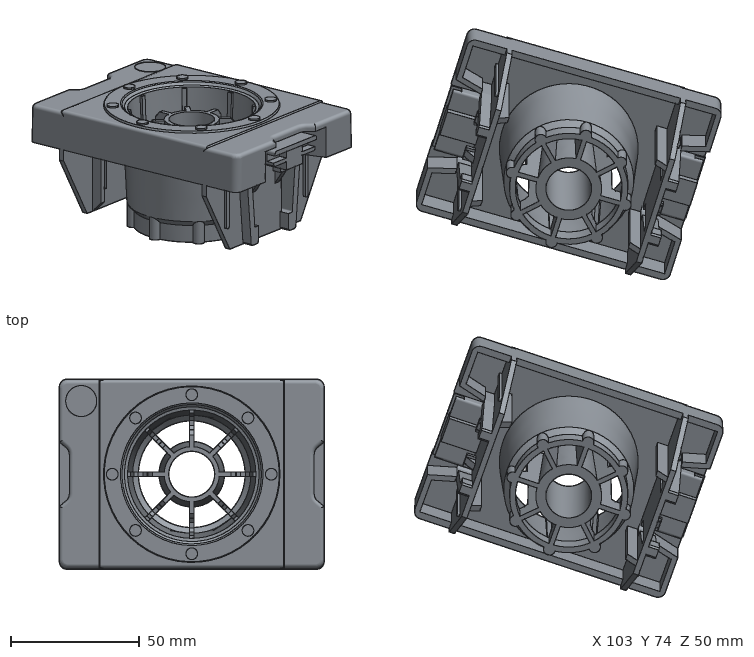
import cadquery as cq
import math

leg_bottom = 2.9
plate_bottom = 32.8
roof_bottom = 45.2
plate_top = 47.9
slab_top = 48.5
disc_top = 49.3
pin_top = 50.0

half_length = 51.5
half_width_bottom = 37.0
half_width_top = 36.5
corner_radius = 3.1
edge_fillet = 1.5
wall = 2.2
slab_half_length = 36.0
slab_undercut = 1.5
slab_end_lean = 0.4
slab_fillet = 1.2
label_x = -43.0
label_y = 28.4
label_diameter = 12.0
label_depth = 0.2

disc_radius = 34.3
disc_top_radius = 34.0
pin_diameter = 4.5
pin_circle_radius = 30.9
repeat_count = 8

cup_wall = 2.3
cup_foot_radius = 23.0
cup_shoulder_radius = 25.2
shoulder_bottom = 6.9
shoulder_top = 9.3
bore_mouth_radius = 24.9
bore_mouth_z = 47.7
rim_step_radius = 26.2
rim_step_z = 48.0
rim_bevel_radius = 27.1
rim_bevel_z = 49.0
rim_radius = 27.7
cup_roof_radius = 27.0
lug_diameter = 4.5
hub_bottom_radius = 12.8
hub_top_radius = 10.7
hub_bore_radius = 8.9
hub_top = 42.8
rib_thickness = 1.9
fin_top = 47.4
rib_floor = 10.3
rib_top_radius = 15.2
rib_bevel_radius = 17.1
rib_bevel_height = 2.2
groove_inner_radius = 17.3
groove_outer_radius = 22.5
groove_corner = 1.5
fin_top_radius = 23.8

frame_x = -40.5
leg_x = -36.4
leg_inner_x = leg_x + wall
cheek_x = -30.0
cheek_half_width = 19.1
cheek_thickness = 2.3
leg_slope_top = 28.2
leg_foot_half_width = 22.2
pocket_half_width_outer = 19.1
pocket_half_width_inner = 16.1
notch_half_width_outer = 12.6
notch_half_width_inner = 9.3
notch_depth = 3.9
notch_inner_radius = 3.6
notch_outer_radius = 2.1
frame_half_width_top = 16.8
frame_half_width_bottom = 14.0
foot_chamfer = 0.7
opening_half_width = 16.0
opening_step_z = 34.0
slot_half_width_top = 13.9
slot_half_width_bottom = 11.7
slot_bottom = 10.0
opening_radius = 1.5
slot_radius = 0.6
foot_half_width = 9.4
tongue_half_width = 10.2
leg_rib_y = 24.7
leg_rib_width = 1.8
leg_rib_height = 1.0
leg_rib_bottom = 12.2
leg_rib_end_radius = 0.8

head_half_width = 13.0
head_bottom = 37.2
head_top = 43.6
head_radius = 1.0
neck_radius = 0.6
head_lip_bottom = 41.7
head_face_x = -50.8
head_groove_x = -47.4
head_groove_bottom = 38.7
head_block_half_width = 4.9
head_block_bottom = 33.8
hook_y_inner = 4.9
hook_y_outer = 10.0
hook_bottom = 27.9
hook_top = 30.2
hook_reach = 3.7
gusset_y = 7.3
gusset_width = 2.7
gusset_bottom = 22.5


def box(x0, x1, y0, y1, z0, z1):
    """Block given by its limits along each axis."""
    return cq.Workplane("XY").box(x1 - x0, y1 - y0, z1 - z0, centered=False).translate((x0, y0, z0))


def mirrored_outline(half):
    """Close a list of (y, z) points with their mirror image at -y."""
    return half + [(-y, z) for y, z in reversed(half)]


def across(points, x0, x1):
    """Prism along X with the (y, z) outline."""
    return cq.Workplane("YZ", origin=(x0, 0, 0)).polyline(points).close().extrude(x1 - x0)


def revolve(points):
    """Turn an (r, z) outline around the Z axis."""
    return cq.Workplane("XZ").polyline(points).close().revolve(360, (0, 0, 0), (0, 1, 0))


def both_ends(shape):
    """The shape together with its mirror image at the +X end."""
    return shape.union(shape.mirror("YZ"))


def half_width_at(z):
    """Half width of the leaning plate at height z."""
    lean = (half_width_bottom - half_width_top) / (plate_top - plate_bottom)
    return half_width_bottom - lean * (z - plate_bottom)


def plate_prism(length, top):
    outline = mirrored_outline([(half_width_bottom, plate_bottom), (half_width_at(top), top)])
    return across(outline, -length, length)


def vertical_edges_at(x):
    """Selector for edges whose centre lies in the plane at x."""
    margin = 0.01
    return cq.selectors.BoxSelector((x - margin, -half_length, plate_bottom + margin),
                                    (x + margin, half_length, plate_top - margin))


def notch():
    """Finger notch through the roof at the -X end."""
    inner_x = -half_length + notch_depth
    outline = [
        (-half_length - wall, notch_half_width_outer),
        (-half_length, notch_half_width_outer),
        (inner_x, notch_half_width_inner),
        (inner_x, -notch_half_width_inner),
        (-half_length, -notch_half_width_outer),
        (-half_length - wall, -notch_half_width_outer),
    ]
    cutter = cq.Workplane("XY", origin=(0, 0, plate_bottom)).polyline(outline).close()
    cutter = cutter.extrude(plate_top - plate_bottom)
    cutter = cutter.edges(vertical_edges_at(inner_x)).fillet(notch_inner_radius)
    return cutter.edges(vertical_edges_at(-half_length)).fillet(notch_outer_radius)


def plate():
    body = plate_prism(half_length, plate_top)
    body = body.faces("<X or >X").edges("not |Y").fillet(corner_radius)
    body = body.cut(both_ends(notch()))
    body = body.faces(">Z").edges().fillet(edge_fillet)

    slab = plate_prism(slab_half_length, slab_top)
    slab = slab.faces(">Z").edges("|X").fillet(slab_fillet)
    slab_foot = slab_half_length - slab_undercut
    slab_ends = [
        (-slab_half_length, plate_top),
        (-slab_half_length + slab_end_lean, slab_top),
        (slab_half_length - slab_end_lean, slab_top),
        (slab_half_length, plate_top),
        (slab_foot, plate_top - slab_undercut),
        (slab_foot, plate_bottom),
        (-slab_foot, plate_bottom),
        (-slab_foot, plate_top - slab_undercut),
    ]
    slab_limit = cq.Workplane("XZ").polyline(slab_ends).close().extrude(half_length, both=True)
    body = body.union(slab.intersect(slab_limit))

    label = cq.Workplane("XY", origin=(label_x, label_y, plate_top)).circle(label_diameter / 2)
    body = body.cut(label.extrude(-label_depth))

    cavity_half_width = half_width_top - wall
    cavity = box(-half_length + wall, half_length - wall, -cavity_half_width, cavity_half_width,
                 plate_bottom, roof_bottom)
    return body.cut(cavity)


def pocket_prism(margin, top):
    """Tapered pocket around the clip head, widened by the margin."""
    outer = pocket_half_width_outer + margin
    inner = pocket_half_width_inner + margin
    outline = [(-half_length, outer), (frame_x, inner), (frame_x, -inner), (-half_length, -outer)]
    base = cq.Workplane("XY", origin=(0, 0, plate_bottom)).polyline(outline).close()
    return base.extrude(top - plate_bottom)


def opening():
    """Opening around the tongue, with a slot along each tongue side."""
    outline = mirrored_outline([
        (opening_half_width, roof_bottom),
        (opening_half_width, opening_step_z),
        (slot_half_width_top, opening_step_z),
        (slot_half_width_bottom, slot_bottom),
    ])
    cutter = across(outline, frame_x - wall, cheek_x)
    cutter = cutter.edges("|X").edges(">Z").fillet(opening_radius)
    return cutter.edges("|X").edges("<Z").fillet(slot_radius)


def frame():
    """Leg plate with its stiffening frame, cheeks and ribs, before the opening is cut."""
    leg_outline = mirrored_outline([
        (half_width_top - wall / 2, roof_bottom),
        (half_width_top - wall / 2, plate_bottom),
        (half_width_bottom, plate_bottom),
        (half_width_bottom, leg_slope_top),
        (leg_foot_half_width, leg_bottom),
    ])
    body = across(leg_outline, leg_x, leg_inner_x)

    frame_outline = mirrored_outline([
        (frame_half_width_top, roof_bottom),
        (frame_half_width_top, plate_bottom),
        (frame_half_width_bottom, leg_bottom + foot_chamfer),
        (frame_half_width_bottom - foot_chamfer, leg_bottom),
        (foot_half_width + foot_chamfer, leg_bottom),
        (foot_half_width, leg_bottom + foot_chamfer),
        (foot_half_width, slot_bottom),
    ])
    body = body.union(across(frame_outline, frame_x, leg_x))

    cheek_width = cheek_x - leg_inner_x
    cheek_outline = [
        (leg_inner_x, roof_bottom),
        (cheek_x, roof_bottom),
        (cheek_x, leg_bottom + cheek_width),
        (leg_inner_x, leg_bottom),
    ]
    for side in (-1, 1):
        cheek_y = side * (cheek_half_width - cheek_thickness / 2)
        cheek = cq.Workplane("XZ", origin=(0, cheek_y, 0)).polyline(cheek_outline).close()
        body = body.union(cheek.extrude(cheek_thickness / 2, both=True))

        rib = box(leg_x - leg_rib_height, leg_x,
                  side * leg_rib_y - leg_rib_width / 2, side * leg_rib_y + leg_rib_width / 2,
                  leg_rib_bottom, roof_bottom)
        body = body.union(rib.edges("|X and <Z").fillet(leg_rib_end_radius))
    return body


def tongue():
    """Flexible tongue with the clip head and the two hooks."""
    body = box(leg_x, leg_inner_x, -tongue_half_width, tongue_half_width, slot_bottom, head_top)
    head = box(-half_length, leg_inner_x, -head_half_width, head_half_width, head_bottom, head_top)
    head = head.edges("|X").fillet(head_radius)
    head = head.cut(box(-half_length, head_face_x, -head_half_width, head_half_width,
                        head_bottom, head_lip_bottom))
    body = body.union(box(head_face_x, leg_x, -head_block_half_width, head_block_half_width,
                          head_block_bottom, head_bottom))
    gusset_outline = [
        (leg_x, hook_bottom),
        (leg_x - hook_reach, hook_bottom),
        (leg_x, gusset_bottom),
    ]
    for side in (-1, 1):
        groove_ys = sorted((side * head_block_half_width, side * head_half_width))
        head = head.cut(box(head_face_x, head_groove_x, *groove_ys, head_groove_bottom, head_lip_bottom))
        hook_ys = sorted((side * hook_y_inner, side * hook_y_outer))
        body = body.union(box(leg_x - hook_reach, leg_x, *hook_ys, hook_bottom, hook_top))
        gusset = cq.Workplane("XZ", origin=(0, side * gusset_y, 0)).polyline(gusset_outline).close()
        body = body.union(gusset.extrude(gusset_width / 2, both=True))
    body = body.union(head)
    for side in (-1, 1):
        neck_y = side * tongue_half_width
        neck = cq.selectors.BoxSelector((head_groove_x, neck_y - neck_radius, head_bottom - neck_radius),
                                        (leg_inner_x, neck_y + neck_radius, head_bottom + neck_radius))
        body = body.edges(neck).edges("|X").fillet(neck_radius)
    return body


def cup_outer():
    body = revolve([
        (0, 0),
        (cup_foot_radius, 0),
        (cup_foot_radius, shoulder_bottom),
        (cup_shoulder_radius, shoulder_top),
        (cup_roof_radius, roof_bottom),
        (cup_roof_radius, slab_top),
        (0, slab_top),
    ])
    lugs = cq.Workplane("XY").polarArray(cup_shoulder_radius - lug_diameter / 2, 0, 360, repeat_count)
    return body.union(lugs.circle(lug_diameter / 2).extrude(shoulder_top))


def cup_bore():
    """Tapered bore with a stepped rim."""
    shoulder_lift = cup_wall * math.tan(math.pi / 8)
    return revolve([
        (0, 0),
        (cup_foot_radius - cup_wall, 0),
        (cup_foot_radius - cup_wall, shoulder_bottom + shoulder_lift),
        (cup_shoulder_radius - cup_wall, shoulder_top + shoulder_lift),
        (bore_mouth_radius, bore_mouth_z),
        (rim_step_radius, rim_step_z),
        (rim_bevel_radius, rim_bevel_z),
        (rim_radius, disc_top),
        (0, disc_top),
    ])


def disc_and_pins():
    disc = revolve([(0, slab_top), (disc_radius, slab_top), (disc_top_radius, disc_top), (0, disc_top)])
    pins = cq.Workplane("XY", origin=(0, 0, slab_top)).polarArray(pin_circle_radius, 0, 360, repeat_count)
    return disc.union(pins.circle(pin_diameter / 2).extrude(pin_top - slab_top))


def hub_and_ribs():
    hub = revolve([(0, 0), (hub_bottom_radius, 0), (hub_top_radius, hub_top), (0, hub_top)])
    rib_outline = [
        (0, 0),
        (cup_foot_radius - cup_wall / 2, 0),
        (cup_foot_radius - cup_wall / 2, shoulder_bottom),
        (cup_shoulder_radius - cup_wall / 2, shoulder_top),
        (bore_mouth_radius + cup_wall / 4, fin_top),
        (fin_top_radius, fin_top),
        (groove_outer_radius, rib_floor + groove_corner),
        (groove_outer_radius - groove_corner, rib_floor),
        (groove_inner_radius + groove_corner, rib_floor),
        (groove_inner_radius, rib_floor + groove_corner),
        (rib_bevel_radius, hub_top - rib_bevel_height),
        (rib_top_radius, hub_top),
        (0, hub_top),
    ]
    rib = cq.Workplane("XZ").polyline(rib_outline).close().extrude(rib_thickness / 2, both=True)
    for index in range(repeat_count):
        hub = hub.union(rib.rotate((0, 0, 0), (0, 0, 1), index * 360 / repeat_count))
    return hub.cut(cq.Workplane("XY").circle(hub_bore_radius).extrude(hub_top))


pocket_walls = pocket_prism(wall, plate_top - edge_fillet).cut(notch())
result = plate().union(both_ends(pocket_walls)).union(both_ends(frame()))
result = result.cut(both_ends(pocket_prism(0, roof_bottom))).cut(both_ends(opening()))
result = result.union(cup_outer()).union(disc_and_pins()).cut(cup_bore())
result = result.union(hub_and_ribs()).union(both_ends(tongue()))